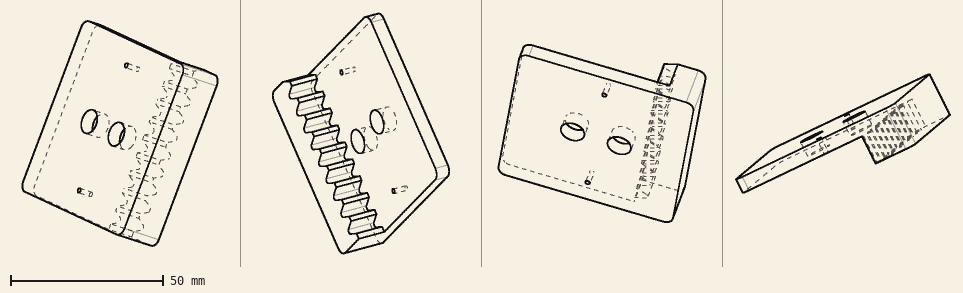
import cadquery as cq
import math

plate_side = 60.0
plate_thickness = 5.0
corner_radius = 3.0
lean_angle = 25.0

large_hole_diameter = 8.0
large_hole_offset = 8.0
small_hole_diameter = 1.5
small_hole_offset = 22.0

rack_depth = 10.0
rack_width = 14.4
tooth_height = 4.45
tooth_pitch = 6.25
tooth_flank = 1.75
tooth_tip = 1.65
full_gap_count = 9
root_radius = 1.0

half_side = plate_side / 2
total_depth = plate_thickness + rack_depth
lean = math.radians(lean_angle)

front_plane = cq.Plane(
    origin=(0, -total_depth * math.cos(lean) / 2, 0),
    xDir=(1, 0, 0),
    normal=(0, -math.cos(lean), math.sin(lean)),
)


def rounded_block(depth):
    """Square block behind the front face with its four long edges rounded."""
    return (
        cq.Workplane(front_plane)
        .rect(plate_side, plate_side)
        .extrude(-depth)
        .edges(cq.selectors.ParallelDirSelector(front_plane.zDir))
        .fillet(corner_radius)
    )


def through_holes(centers, diameter):
    return (
        cq.Workplane(front_plane)
        .pushPoints(centers)
        .circle(diameter / 2)
        .extrude(-plate_thickness)
    )


def tooth_gap(tip_x, top_y):
    """Tapered gap between two teeth; its root is an arc tangent to both flanks."""
    flank_angle = math.atan2(tooth_flank, tooth_height)
    half_gap = (tooth_pitch - tooth_tip) / 2
    middle_y = top_y - half_gap
    half_chord = root_radius * math.cos(flank_angle)
    flank_end_x = tip_x + (half_gap - half_chord) / math.tan(flank_angle)
    return (
        cq.Workplane(front_plane)
        .workplane(offset=-plate_thickness)
        .moveTo(tip_x, top_y)
        .lineTo(flank_end_x, middle_y + half_chord)
        .tangentArcPoint((flank_end_x, middle_y - half_chord), relative=False)
        .lineTo(tip_x, middle_y - half_gap)
        .close()
        .extrude(-rack_depth)
    )


def toothed_rack():
    tip_x = half_side - rack_width
    strip = (
        cq.Workplane(front_plane)
        .center(half_side - rack_width / 2, 0)
        .rect(rack_width, plate_side)
        .extrude(-total_depth)
    )
    rack = rounded_block(total_depth).intersect(strip)

    end_flank = (
        cq.Workplane(front_plane)
        .workplane(offset=-plate_thickness)
        .moveTo(tip_x, half_side)
        .lineTo(tip_x + tooth_height, half_side)
        .lineTo(tip_x, half_side - tooth_flank)
        .close()
        .extrude(-rack_depth)
    )
    rack = rack.cut(end_flank)

    first_gap_y = half_side - tooth_flank - tooth_tip
    for index in range(full_gap_count):
        rack = rack.cut(tooth_gap(tip_x, first_gap_y - index * tooth_pitch))
    return rack


large_centers = [(-large_hole_offset, 0), (large_hole_offset, 0)]
small_centers = [(0, -small_hole_offset), (0, small_hole_offset)]

result = (
    rounded_block(plate_thickness)
    .union(toothed_rack())
    .cut(through_holes(large_centers, large_hole_diameter))
    .cut(through_holes(small_centers, small_hole_diameter))
)